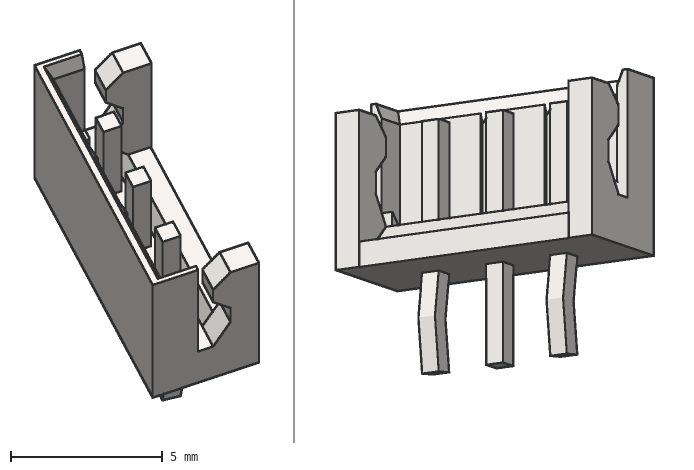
import cadquery as cq

LENGTH = 10.0
DEPTH = 3.8
HEIGHT = 6.0
FLOOR_Z = 1.66
SHROUD_BACK_Y = 1.62
FRONT_WALL = 0.5
SIDE_WALL = 0.41
FRONT_RIM = 0.26
SIDE_RIM = 0.18
LEAD_IN_DEPTH = 0.52

HOOK_WIDTH = 0.92
HOOK_TOP_Z = 5.3
HOOK_NOSE_Y = 2.16
HOOK_NECK_Y = 2.78
HOOK_NECK_LOW_Z = 2.66
HOOK_NECK_HIGH_Z = 3.4
HOOK_NOSE_LOW_Z = 4.02
HOOK_NOSE_HIGH_Z = 4.68

LEDGE_DROP = 0.8
LEDGE_SLOPE_RUN = 0.8
LEDGE_SETBACK = 0.03

RIB_SPACING = 2.5
RIB_HALF_WIDTH = 0.19
RIB_HEIGHT = 0.19
RAMP_WIDTH = 0.41
RAMP_RUN = 0.62
RAMP_RISE = 0.62

PIN_PITCH = 2.5
PIN_WIDTH = 0.65
PIN_FRONT_Y = 1.27
PIN_TOP_Z = 5.12
PIN_LENGTH_BELOW = 3.4
BEND_Z = -1.56
BEND_OFFSET = 0.23
BENT_TIP_RISE = 0.09


def extrude_along_x(points, center_x, width):
    """Extrude a (Y, Z) outline symmetrically about center_x."""
    outline = cq.Workplane("YZ", origin=(center_x, 0, 0)).polyline(points).close()
    return outline.extrude(width / 2, both=True)


def block(x0, x1, y0, y1, z0, z1):
    return cq.Workplane("XY").box(x1 - x0, y1 - y0, z1 - z0, centered=False).translate((x0, y0, z0))


def make_housing():
    """Full-length body with the hook and shroud side outline."""
    return extrude_along_x(
        [
            (0, 0),
            (DEPTH, 0),
            (DEPTH, HOOK_TOP_Z),
            (HOOK_NECK_Y, HOOK_TOP_Z),
            (HOOK_NOSE_Y, HOOK_NOSE_HIGH_Z),
            (HOOK_NOSE_Y, HOOK_NOSE_LOW_Z),
            (HOOK_NECK_Y, HOOK_NECK_HIGH_Z),
            (HOOK_NECK_Y, HOOK_NECK_LOW_Z),
            (HOOK_NOSE_Y, FLOOR_Z),
            (SHROUD_BACK_Y, FLOOR_Z),
            (SHROUD_BACK_Y, HEIGHT),
            (0, HEIGHT),
        ],
        0,
        LENGTH,
    )


def make_ledge_cut():
    """Space between the hooks, leaving a sloped low ledge behind the floor."""
    ledge_z = FLOOR_Z - LEDGE_DROP
    ledge_back_y = DEPTH - LEDGE_SETBACK
    return extrude_along_x(
        [
            (HOOK_NOSE_Y, FLOOR_Z),
            (HOOK_NOSE_Y + LEDGE_SLOPE_RUN, ledge_z),
            (ledge_back_y, ledge_z),
            (ledge_back_y, 0),
            (DEPTH, 0),
            (DEPTH, HEIGHT),
            (HOOK_NOSE_Y, HEIGHT),
        ],
        0,
        LENGTH - 2 * HOOK_WIDTH,
    )


def make_cavity():
    """Shroud interior, with pointed ribs and side ramps left standing."""
    half_length = LENGTH / 2 - SIDE_WALL
    cavity = block(-half_length, half_length, FRONT_WALL, SHROUD_BACK_Y, FLOOR_Z, HEIGHT)
    for side in (-1, 1):
        rib_x = side * RIB_SPACING / 2
        rib = (
            cq.Workplane("XY", origin=(0, 0, FLOOR_Z))
            .moveTo(rib_x - RIB_HALF_WIDTH, FRONT_WALL)
            .lineTo(rib_x + RIB_HALF_WIDTH, FRONT_WALL)
            .lineTo(rib_x, FRONT_WALL + RIB_HEIGHT)
            .close()
            .extrude(HEIGHT - FLOOR_Z)
        )
        ramp = extrude_along_x(
            [
                (SHROUD_BACK_Y - RAMP_RUN, FLOOR_Z),
                (SHROUD_BACK_Y, FLOOR_Z),
                (SHROUD_BACK_Y, FLOOR_Z + RAMP_RISE),
            ],
            side * (half_length - RAMP_WIDTH / 2),
            RAMP_WIDTH,
        )
        cavity = cavity.cut(rib).cut(ramp)
    return cavity


def make_lead_in():
    """Tapered mouth, run on below the wall bevel so it also bevels the ribs."""
    depth_factor = 2
    front_taper = FRONT_WALL - FRONT_RIM
    side_taper = SIDE_WALL - SIDE_RIM

    def mouth_outline(factor):
        half_length = LENGTH / 2 - SIDE_RIM - factor * side_taper
        front_y = FRONT_RIM + factor * front_taper
        z = HEIGHT - factor * LEAD_IN_DEPTH
        corners = [
            (-half_length, front_y),
            (half_length, front_y),
            (half_length, SHROUD_BACK_Y),
            (-half_length, SHROUD_BACK_Y),
        ]
        return cq.Wire.makePolygon([cq.Vector(x, y, z) for x, y in corners], close=True)

    return cq.Workplane(cq.Solid.makeLoft([mouth_outline(depth_factor), mouth_outline(0)], True))


def make_pin(center_x, bend_offset, tip_rise):
    """Square pin through the floor, with its tail bowed rearward by bend_offset."""
    back_y = PIN_FRONT_Y + PIN_WIDTH
    return extrude_along_x(
        [
            (PIN_FRONT_Y, PIN_TOP_Z),
            (PIN_FRONT_Y, 0),
            (PIN_FRONT_Y + bend_offset, BEND_Z),
            (PIN_FRONT_Y, tip_rise - PIN_LENGTH_BELOW),
            (back_y, -PIN_LENGTH_BELOW),
            (back_y + bend_offset, BEND_Z),
            (back_y, 0),
            (back_y, PIN_TOP_Z),
        ],
        center_x,
        PIN_WIDTH,
    )


result = make_housing().cut(make_ledge_cut()).cut(make_cavity()).cut(make_lead_in())
result = result.union(make_pin(0, 0, 0))
for pin_side in (-1, 1):
    result = result.union(make_pin(pin_side * PIN_PITCH, BEND_OFFSET, BENT_TIP_RISE))